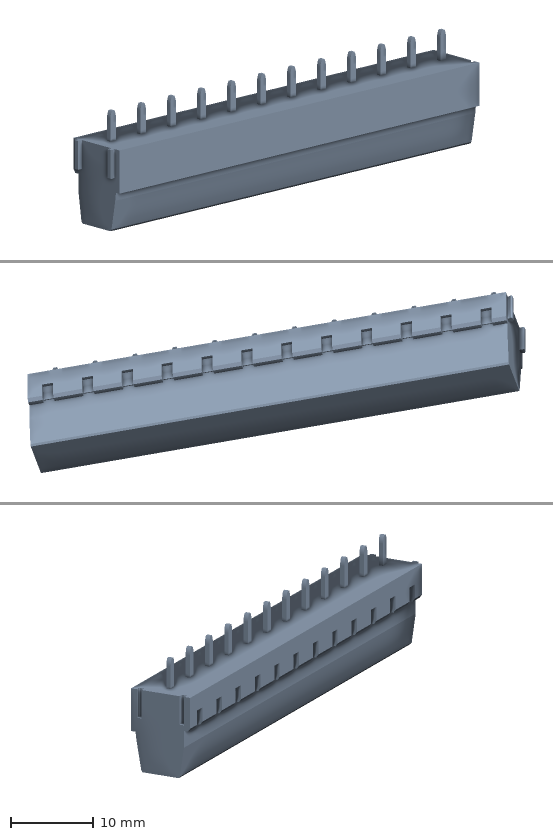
import cadquery as cq
import math

pole_count = 12
pitch = 5.0
body_length = pole_count * pitch
first_pole_y = -body_length / 2 + pitch / 2
rear_face_y = body_length / 2
front_face_y = -body_length / 2

body_width = 8.1
body_height = 10.5
left_flange_height = 4.35
right_flange_height = 5.45
left_wall_x = -3.2
right_wall_x = 3.45
taper_start = 6.5
right_bend_x = 3.35
base_half_width = 2.65
flange_chamfer_width = 0.3
flange_chamfer_height = 0.4
base_chamfer_width = 0.2
base_chamfer_height = 0.25

pin_thickness = 0.6
pin_width = 0.9
pin_height = 3.8
pin_root_depth = 0.6
pin_tip_width = 0.4
pin_tip_radius = 1.91

notch_width = 1.4
notch_top = 2.1
notch_bend = 2.95
notch_bottom = 4.0
notch_top_x = -3.65
notch_floor_x = -3.35

rib_height = 3.65
overall_length = 60.6
rib_depth = overall_length - body_length
rib_neck_depth = 0.2
rib_inner_x = 2.6
rib_neck_x = 3.2
rib_tip_x = 3.35
rib_tip_depth = 0.5
rib_end_x = 3.15


def extrude_along_y(points, length, center_y):
    """Extrude an outline in the XZ plane by a length centred on center_y."""
    plane = cq.Workplane("XZ", origin=(0, center_y, 0))
    return plane.polyline(points).close().extrude(length / 2, both=True)


def make_housing():
    half_width = body_width / 2
    outline = [
        (-half_width, 0),
        (half_width, 0),
        (half_width, -right_flange_height),
        (right_wall_x, -right_flange_height),
        (right_bend_x, -taper_start),
        (base_half_width, -body_height + base_chamfer_height),
        (base_half_width - base_chamfer_width, -body_height),
        (-base_half_width + base_chamfer_width, -body_height),
        (-base_half_width, -body_height + base_chamfer_height),
        (left_wall_x, -taper_start),
        (left_wall_x, -left_flange_height),
        (-half_width + flange_chamfer_width, -left_flange_height),
        (-half_width, -left_flange_height + flange_chamfer_height),
    ]
    return extrude_along_y(outline, body_length, 0)


def make_notch(center_y):
    """Flange notch, open at the bottom, whose upper floor slopes outwards to its top."""
    half_width = body_width / 2
    outline = [
        (-half_width, -notch_top),
        (notch_top_x, -notch_top),
        (notch_floor_x, -notch_bend),
        (notch_floor_x, -notch_bottom),
        (left_wall_x, -notch_bottom),
        (left_wall_x, -left_flange_height),
        (-half_width, -left_flange_height),
    ]
    return extrude_along_y(outline, notch_width, center_y)


def make_pin(center_y):
    """Flat pin with a blunt tip between two arcs tangent to its sides."""
    half_width = pin_width / 2
    half_tip = pin_tip_width / 2
    arc_center = half_width - pin_tip_radius
    tip_length = math.sqrt(pin_tip_radius**2 - (half_tip - arc_center) ** 2)
    shoulder_z = pin_height - tip_length
    half_angle = math.asin(tip_length / pin_tip_radius) / 2
    mid_y = arc_center + pin_tip_radius * math.cos(half_angle)
    mid_z = shoulder_z + pin_tip_radius * math.sin(half_angle)
    return (
        cq.Workplane("YZ", origin=(0, center_y, 0))
        .moveTo(-half_width, -pin_root_depth)
        .lineTo(half_width, -pin_root_depth)
        .lineTo(half_width, shoulder_z)
        .threePointArc((mid_y, mid_z), (half_tip, pin_height))
        .lineTo(-half_tip, pin_height)
        .threePointArc((-mid_y, mid_z), (-half_width, shoulder_z))
        .close()
        .extrude(pin_thickness / 2, both=True)
    )


def make_dovetail(side, end_y):
    """Half dovetail on one side (-1 or 1), reaching rib_depth from end_y towards -Y."""
    outline = [
        (side * rib_inner_x, end_y),
        (side * rib_neck_x, end_y),
        (side * rib_neck_x, end_y - rib_neck_depth),
        (side * rib_tip_x, end_y - rib_tip_depth),
        (side * rib_end_x, end_y - rib_depth),
        (side * rib_inner_x, end_y - rib_depth),
    ]
    return cq.Workplane("XY").polyline(outline).close().extrude(-rib_height)


result = make_housing()

for side in (-1, 1):
    result = result.union(make_dovetail(side, front_face_y))
    result = result.cut(make_dovetail(side, rear_face_y))

for pole in range(pole_count):
    pole_y = first_pole_y + pole * pitch
    result = result.cut(make_notch(pole_y))
    result = result.union(make_pin(pole_y))